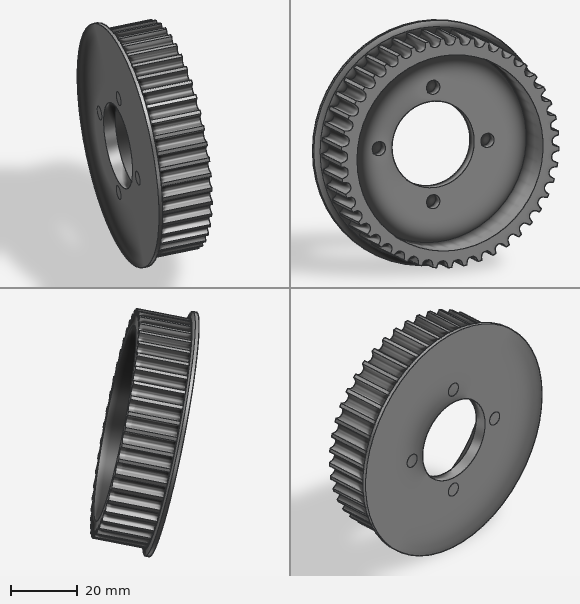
import cadquery as cq
import math

flange_diameter = 75.0
total_width = 17.8
flange_thickness = 1.8
rim_width = 1.2
flange_bevel_radial = 1.8

tooth_count = 45
tip_diameter = 70.35
groove_depth = 2.2
groove_opening = 3.75
wall_angle = 18
root_radius = 1.5

bore_diameter = 26.5
recess_diameter = 60.0
web_thickness = 3.75

hole_diameter = 4.3
hole_circle_diameter = 35.0
hole_count = 4
hole_skin = 0.2


def groove_point(across, out, turn):
    """Place (x, z) of a point of the groove on +Z after turning it clockwise about the axis."""
    x = across * math.cos(turn) + out * math.sin(turn)
    z = out * math.cos(turn) - across * math.sin(turn)
    return (x, z)


def cylinder(diameter, start, end):
    """Solid cylinder about the Y axis between two places along it."""
    plane = cq.Workplane("XZ", origin=(0, start, 0))
    return plane.circle(diameter / 2).extrude(start - end)


def tooth_outline():
    """Closed outline of the toothed rim, one groove and one land per step."""
    tip = tip_diameter / 2
    root = tip - groove_depth
    slope = math.radians(wall_angle)
    mouth_across = groove_opening / 2
    mouth_out = math.sqrt(tip**2 - mouth_across**2)
    joint_out = root + root_radius * (1 - math.sin(slope))
    joint_across = mouth_across - (mouth_out - joint_out) * math.tan(slope)
    floor_across = joint_across - root_radius * math.cos(slope)
    half_turn = (math.pi / 2 - slope) / 2
    bend_across = floor_across + root_radius * math.sin(half_turn)
    bend_out = root + root_radius * (1 - math.cos(half_turn))

    step = 2 * math.pi / tooth_count
    outline = cq.Workplane("XZ", origin=(0, flange_thickness, 0))
    outline = outline.moveTo(*groove_point(-mouth_across, mouth_out, 0))
    for index in range(tooth_count):
        turn = index * step
        outline = (
            outline.lineTo(*groove_point(-joint_across, joint_out, turn))
            .threePointArc(
                groove_point(-bend_across, bend_out, turn),
                groove_point(-floor_across, root, turn),
            )
            .lineTo(*groove_point(floor_across, root, turn))
            .threePointArc(
                groove_point(bend_across, bend_out, turn),
                groove_point(joint_across, joint_out, turn),
            )
            .lineTo(*groove_point(mouth_across, mouth_out, turn))
            .threePointArc(
                groove_point(0, tip, turn + step / 2),
                groove_point(-mouth_across, mouth_out, turn + step),
            )
        )
    return outline.close()


def flange():
    """Flange disc with a shallow bevel on the side facing the teeth."""
    outer = flange_diameter / 2
    profile = [
        (0, 0),
        (outer, 0),
        (outer, rim_width),
        (outer - flange_bevel_radial, flange_thickness),
        (0, flange_thickness),
    ]
    return cq.Workplane("XY").polyline(profile).close().revolve(360, (0, 0, 0), (0, 1, 0))


def blind_holes():
    plane = cq.Workplane("XZ", origin=(0, hole_skin, 0))
    spots = plane.polarArray(hole_circle_diameter / 2, 0, 360, hole_count)
    return spots.circle(hole_diameter / 2).extrude(hole_skin - web_thickness)


toothed_rim = tooth_outline().extrude(flange_thickness - total_width)
result = (
    flange()
    .union(toothed_rim)
    .cut(cylinder(bore_diameter, 0, total_width))
    .cut(cylinder(recess_diameter, web_thickness, total_width))
    .cut(blind_holes())
)